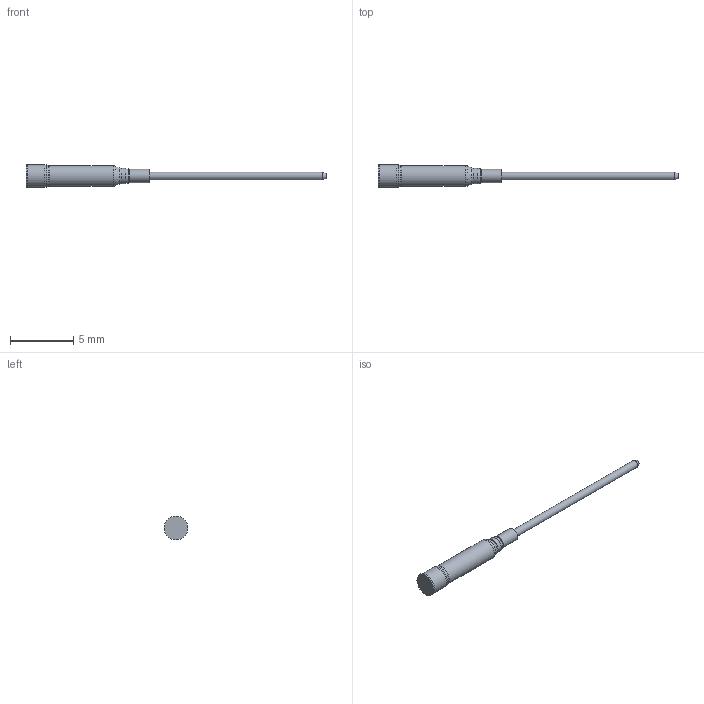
import cadquery as cq
import math

total_length = 23.77
rim_thickness = 0.1
head_end = 1.47
body_end = 6.91
collar_end = 7.90
neck_end = 9.82
tip_length = 0.27

rim_radius = 1.87 / 2
head_radius = 1.80 / 2
body_radius = 1.65 / 2
collar_radius = 1.21 / 2
neck_radius = 1.06 / 2
wire_radius = 0.63 / 2
tip_radius = 0.36 / 2

convex_radius = 0.5
concave_radius = 0.3
head_cone_angle = math.radians(14)
body_cone_angle = math.radians(26)


def arc_run(arc_radius, angle):
    """Axial length of an arc that turns from the axis direction through the angle."""
    return arc_radius * math.sin(angle)


def arc_drop(arc_radius, angle):
    """Radial height of an arc that turns from the axis direction through the angle."""
    return arc_radius * (1 - math.cos(angle))


def convex_arc(profile, start_x, start_radius, angle):
    """Run along a cylinder to start_x, then curve down until the slope reaches the angle."""
    middle = (
        start_x + arc_run(convex_radius, angle / 2),
        start_radius - arc_drop(convex_radius, angle / 2),
    )
    end = (
        start_x + arc_run(convex_radius, angle),
        start_radius - arc_drop(convex_radius, angle),
    )
    return profile.lineTo(start_x, start_radius).threePointArc(middle, end)


def concave_arc(profile, end_x, end_radius, angle):
    """Curve from a slope at the angle onto a cylinder that begins at end_x."""
    middle = (
        end_x - arc_run(concave_radius, angle / 2),
        end_radius + arc_drop(concave_radius, angle / 2),
    )
    return profile.threePointArc(middle, (end_x, end_radius))


def cone_step(profile, start_x, large_radius, small_radius, cone_angle):
    """Step down over a cone blended into both cylinders."""
    both_radii = convex_radius + concave_radius
    cone_drop = large_radius - small_radius - arc_drop(both_radii, cone_angle)
    cone_run = cone_drop / math.tan(cone_angle)
    end_x = start_x + arc_run(both_radii, cone_angle) + cone_run

    profile = convex_arc(profile, start_x, large_radius, cone_angle)
    profile = profile.line(cone_run, -cone_drop)
    return concave_arc(profile, end_x, small_radius, cone_angle)


def curved_step(profile, start_x, large_radius, small_radius):
    """Step down over two arcs that meet with no cone between them."""
    both_radii = convex_radius + concave_radius
    meeting_angle = math.acos(1 - (large_radius - small_radius) / both_radii)
    end_x = start_x + arc_run(both_radii, meeting_angle)

    profile = convex_arc(profile, start_x, large_radius, meeting_angle)
    return concave_arc(profile, end_x, small_radius, meeting_angle)


profile = (
    cq.Workplane("XY")
    .lineTo(0, rim_radius)
    .lineTo(rim_thickness, rim_radius)
    .lineTo(rim_thickness, head_radius)
)
profile = cone_step(profile, head_end, head_radius, body_radius, head_cone_angle)
profile = cone_step(profile, body_end, body_radius, collar_radius, body_cone_angle)
profile = curved_step(profile, collar_end, collar_radius, neck_radius)
profile = (
    profile.lineTo(neck_end, neck_radius)
    .lineTo(neck_end, wire_radius)
    .lineTo(total_length - tip_length, wire_radius)
    .lineTo(total_length, tip_radius)
    .lineTo(total_length, 0)
    .close()
)

result = profile.revolve(360, (0, 0, 0), (1, 0, 0))